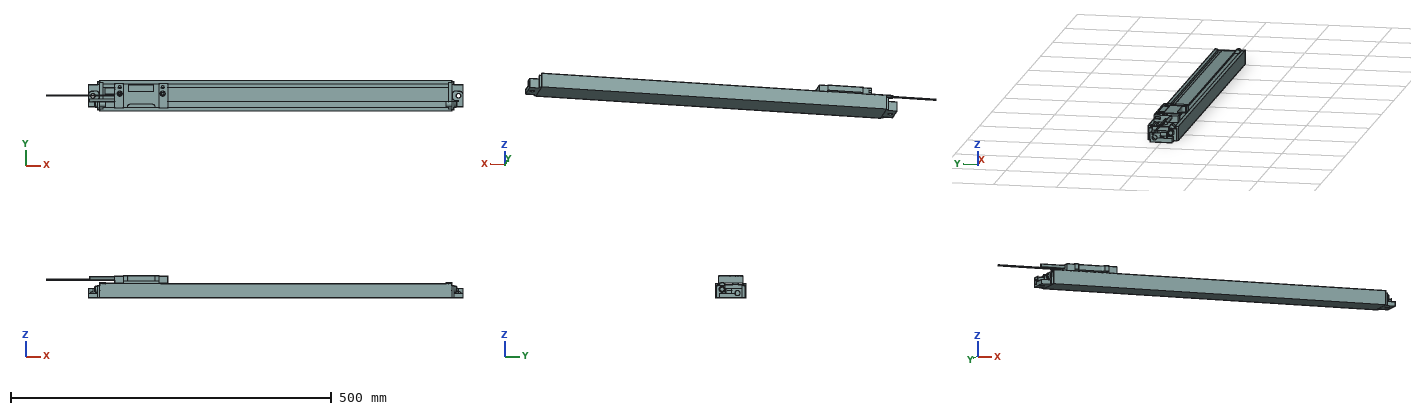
import cadquery as cq

TOTAL_LENGTH = 650.0
HOUSING_WIDTH = 47.9
TOTAL_HEIGHT = 35.0
RIGHT_TIP_X = TOTAL_LENGTH / 2
CABLE_TIP_X = -TOTAL_LENGTH / 2
BODY_LENGTH = 584.6
BODY_CENTER_X = RIGHT_TIP_X - BODY_LENGTH / 2

LUG_REACH = 14.4
PLATE_THICKNESS = 3.4
HOUSING_LENGTH = BODY_LENGTH - 2 * (LUG_REACH + PLATE_THICKNESS)
HOUSING_HEIGHT = 22.5
HOUSING_END = HOUSING_LENGTH / 2
TROUGH_HALF_WIDTH = 18.5
TROUGH_FLOOR_Z = 18.5
COVER_Z = 21.0
COVER_BACK_Y = 12.7
COVER_FRONT_Y = -8.8

PLATE_WIDTH = 44.0
PLATE_HEIGHT = 19.4
TONGUE_LENGTH = 5.0
TONGUE_WIDTH = 41.0
TONGUE_BOTTOM_Z = 12.0
ARCH_LENGTH = 9.0
ARCH_RADIUS = 4.3
ARCH_Y = -13.4
ARCH_TOP_Z = 24.4
PLUG_DIAMETER = 9.6
PLUG_LENGTH = 4.5
PLUG_Z = 13.6
PLUG_CHAMFER = 1.5
LUG_WIDTH = 34.5
LUG_HEIGHT = 15.0
LUG_SHELF_Z = 7.0
LUG_WALL_Y = -8.8
LUG_HOLE_DIAMETER = 7.0
LUG_HOLE_INSET = 7.3
LUG_POCKET_RADIUS = 7.4
LUG_POCKET_CORNER_RADIUS = 4.0
LUG_POCKET_PLATE_DEPTH = 2.0
PORT_DIAMETER = 8.0
PORT_DEPTH = 8.0
PORT_Y = 10.4
PORT_Z = 7.5

SLIDER_CENTER_X = -177.0
SLIDER_LENGTH = 83.0
SLIDER_WIDTH = 38.5
SLIDER_FOOT_Z = 23.3
BRIDGE_Z = 26.5
END_BLOCK_LENGTH = 13.5
END_BLOCK_DROP = 1.0
BRIDGE_INSET = 0.6
BRIDGE_LENGTH = SLIDER_LENGTH - 2 * END_BLOCK_LENGTH
SPINE_LENGTH = 62.0
SPINE_BACK_Y = 12.0
SPINE_FRONT_Y = 3.0
TONGUE_PLATE_REACH = 15.0
TONGUE_PLATE_THICKNESS = 2.0
SIDE_POCKET_LENGTH = 43.0
SIDE_POCKET_DEPTH = 6.0
SIDE_POCKET_RADIUS = 4.0
LABEL_LENGTH = 39.0
LABEL_BACK_Y = 16.5
LABEL_FRONT_Y = 6.7
LABEL_DEPTH = 0.4
SOCKET_Y = 13.5
SOCKET_Z = 29.3
SOCKET_WIDTH = 8.0
SOCKET_HEIGHT = 3.6
SOCKET_DEPTH = 4.0
SCREW_SPACING = 67.0
SMALL_HOLE_DIAMETER = 4.5
SMALL_HOLE_Y = 13.5
LARGE_HOLE_DIAMETER = 4.0
COUNTERBORE_DIAMETER = 8.0
COUNTERBORE_DEPTH = 4.5
LARGE_HOLE_Y = 3.2

CABLE_DIAMETER = 2.0
CABLE_Y = 0.4
CABLE_Z = 28.2
SLEEVE_DIAMETER = 5.0
SLEEVE_LENGTH = 39.0
SLEEVE_Y = -7.2
SLEEVE_Z = 30.8


def block(x_range, y_range, z_range):
    """Box between two limits along each axis."""
    lengths = [high - low for low, high in (x_range, y_range, z_range)]
    corner = (x_range[0], y_range[0], z_range[0])
    return cq.Workplane("XY").box(*lengths, centered=False).translate(corner)


def centered(width):
    return (-width / 2, width / 2)


def rod(x_start, x_end, y, z, diameter):
    """Round bar along X."""
    return cq.Workplane("YZ", origin=(x_start, y, z)).circle(diameter / 2).extrude(x_end - x_start)


def make_housing():
    """Long profile with a raised cover strip between two grooves, notched at both ends."""
    half_width = HOUSING_WIDTH / 2
    profile = [
        (-half_width, 0),
        (half_width, 0),
        (half_width, HOUSING_HEIGHT),
        (TROUGH_HALF_WIDTH, HOUSING_HEIGHT),
        (TROUGH_HALF_WIDTH, TROUGH_FLOOR_Z),
        (COVER_BACK_Y, TROUGH_FLOOR_Z),
        (COVER_BACK_Y, COVER_Z),
        (COVER_FRONT_Y, COVER_Z),
        (COVER_FRONT_Y, TROUGH_FLOOR_Z),
        (-TROUGH_HALF_WIDTH, TROUGH_FLOOR_Z),
        (-TROUGH_HALF_WIDTH, HOUSING_HEIGHT),
        (-half_width, HOUSING_HEIGHT),
    ]
    start = BODY_CENTER_X - HOUSING_END
    body = cq.Workplane("YZ", origin=(start, 0, 0)).polyline(profile).close().extrude(HOUSING_LENGTH)
    for notch_x in (start, start + HOUSING_LENGTH - TONGUE_LENGTH):
        body = body.cut(block(
            (notch_x, notch_x + TONGUE_LENGTH),
            centered(TONGUE_WIDTH),
            (TONGUE_BOTTOM_Z, HOUSING_HEIGHT),
        ))
    return body


def make_lug_pocket(plate_face, tip):
    """Clearance above the lug shelf: a slot, round about the screw hole and open at the front of the tip."""
    hole_x = tip - LUG_HOLE_INSET
    height_range = (LUG_SHELF_Z, LUG_HEIGHT)
    slot_y = centered(2 * LUG_POCKET_RADIUS)
    slot = block((plate_face - LUG_POCKET_PLATE_DEPTH, hole_x), slot_y, height_range)
    slot = slot.edges("|Z and <X").fillet(LUG_POCKET_CORNER_RADIUS)
    round_end = (
        cq.Workplane("XY", origin=(hole_x, 0, LUG_SHELF_Z))
        .circle(LUG_POCKET_RADIUS)
        .extrude(LUG_HEIGHT - LUG_SHELF_Z)
    )
    front_opening = block((hole_x, tip), (LUG_WALL_Y, 0), height_range)
    return slot.union(round_end).union(front_opening)


def make_lug(plate_face, tip):
    """Mounting lug: a shelf with a raised rear part, a screw hole and a port in its end."""
    lug = block((plate_face, tip), centered(LUG_WIDTH), (0, LUG_SHELF_Z))
    lug = lug.union(block((plate_face, tip), (LUG_WALL_Y, LUG_WIDTH / 2), (LUG_SHELF_Z, LUG_HEIGHT)))
    screw_hole = (
        cq.Workplane("XY", origin=(tip - LUG_HOLE_INSET, 0, 0))
        .circle(LUG_HOLE_DIAMETER / 2)
        .extrude(LUG_SHELF_Z)
    )
    port = rod(tip - PORT_DEPTH, tip, PORT_Y, PORT_Z, PORT_DIAMETER)
    return lug.cut(screw_hole).cut(port)


def make_arch():
    """Round-topped rib that lies in the front groove of the housing."""
    arch_center_z = ARCH_TOP_Z - ARCH_RADIUS
    return (
        cq.Workplane("YZ", origin=(HOUSING_END - ARCH_LENGTH, 0, 0))
        .moveTo(ARCH_Y - ARCH_RADIUS, TROUGH_FLOOR_Z)
        .lineTo(ARCH_Y - ARCH_RADIUS, arch_center_z)
        .threePointArc((ARCH_Y, ARCH_TOP_Z), (ARCH_Y + ARCH_RADIUS, arch_center_z))
        .lineTo(ARCH_Y + ARCH_RADIUS, TROUGH_FLOOR_Z)
        .close()
        .extrude(ARCH_LENGTH)
    )


def make_end_cap():
    """Right-hand end cap about the housing centre, its plate cut down to the raised part of the lug."""
    plate_face = HOUSING_END + PLATE_THICKNESS
    cap = block((HOUSING_END, plate_face), centered(PLATE_WIDTH), (0, PLATE_HEIGHT))
    cap = cap.cut(block(
        (HOUSING_END, plate_face),
        (LUG_WALL_Y, LUG_WIDTH / 2),
        (LUG_HEIGHT, PLATE_HEIGHT),
    ))
    cap = cap.union(block(
        (HOUSING_END - TONGUE_LENGTH, HOUSING_END),
        centered(TONGUE_WIDTH),
        (TONGUE_BOTTOM_Z, COVER_Z),
    ))
    cap = cap.union(make_arch())
    plug = rod(plate_face, plate_face + PLUG_LENGTH, ARCH_Y, PLUG_Z, PLUG_DIAMETER)
    tip = BODY_LENGTH / 2
    cap = cap.union(make_lug(plate_face, tip)).cut(make_lug_pocket(plate_face, tip))
    return cap.union(plug.faces(">X").chamfer(PLUG_CHAMFER))


def make_slider_body():
    """Carriage: two end blocks joined by a taller bridge, with a pocket in its front side."""
    end_block_top = TOTAL_HEIGHT - END_BLOCK_DROP
    bridge_width = SLIDER_WIDTH - 2 * BRIDGE_INSET
    body = block(centered(BRIDGE_LENGTH), centered(bridge_width), (BRIDGE_Z, TOTAL_HEIGHT))
    for side in (-1, 1):
        block_center = side * (BRIDGE_LENGTH + END_BLOCK_LENGTH) / 2
        body = body.union(
            block(centered(END_BLOCK_LENGTH), centered(SLIDER_WIDTH), (SLIDER_FOOT_Z, end_block_top))
            .translate((block_center, 0, 0))
        )
    side_pocket = block(
        centered(SIDE_POCKET_LENGTH),
        (-SLIDER_WIDTH / 2, -SLIDER_WIDTH / 2 + SIDE_POCKET_DEPTH),
        (BRIDGE_Z, TOTAL_HEIGHT),
    )
    body = body.cut(side_pocket.edges("|Z and >Y").fillet(SIDE_POCKET_RADIUS))
    return body.cut(block(
        centered(LABEL_LENGTH),
        (LABEL_FRONT_Y, LABEL_BACK_Y),
        (TOTAL_HEIGHT - LABEL_DEPTH, TOTAL_HEIGHT),
    ))


def drill_slider(body):
    """Two pairs of screw holes, one pair in each end block."""
    end_block_top = TOTAL_HEIGHT - END_BLOCK_DROP
    top = cq.Workplane("XY", origin=(0, 0, end_block_top))
    depth = TOTAL_HEIGHT - SLIDER_FOOT_Z
    for side in (-1, 1):
        screw_x = side * SCREW_SPACING / 2
        small_hole = top.center(screw_x, SMALL_HOLE_Y)
        large_hole = top.center(screw_x, LARGE_HOLE_Y)
        body = body.cut(small_hole.circle(SMALL_HOLE_DIAMETER / 2).extrude(-depth))
        body = body.cut(large_hole.circle(LARGE_HOLE_DIAMETER / 2).extrude(-depth))
        body = body.cut(large_hole.circle(COUNTERBORE_DIAMETER / 2).extrude(-COUNTERBORE_DEPTH))
    return body


def make_socket():
    """Shallow rectangular socket in the cable-side end of the carriage."""
    rear_x = -SLIDER_LENGTH / 2
    return (
        block((rear_x, rear_x + SOCKET_DEPTH), centered(SOCKET_WIDTH), centered(SOCKET_HEIGHT))
        .translate((0, SOCKET_Y, SOCKET_Z))
    )


def make_slider():
    """Carriage with its guide on the cover strip, its cable and its connector sleeve."""
    body = drill_slider(make_slider_body()).cut(make_socket())
    guide_y = (SPINE_FRONT_Y, SPINE_BACK_Y)
    spine = block(centered(SPINE_LENGTH), guide_y, (COVER_Z, BRIDGE_Z))
    tongue_plate = block(
        (-SLIDER_LENGTH / 2 - TONGUE_PLATE_REACH, 0),
        guide_y,
        (COVER_Z, COVER_Z + TONGUE_PLATE_THICKNESS),
    )
    body = body.union(spine).union(tongue_plate).translate((SLIDER_CENTER_X, 0, 0))
    rear_x = SLIDER_CENTER_X - SLIDER_LENGTH / 2
    sleeve = rod(rear_x - SLEEVE_LENGTH, rear_x, SLEEVE_Y, SLEEVE_Z, SLEEVE_DIAMETER)
    cable = rod(CABLE_TIP_X, rear_x, CABLE_Y, CABLE_Z, CABLE_DIAMETER)
    return body.union(sleeve).union(cable)


housing = make_housing()
slider = make_slider()
right_cap = make_end_cap()
end_caps = [
    cap.translate((BODY_CENTER_X, 0, 0))
    for cap in (right_cap, right_cap.mirror("YZ"))
]

result = cq.Compound.makeCompound([
    housing.val(),
    *[cap.val() for cap in end_caps],
    slider.val(),
])